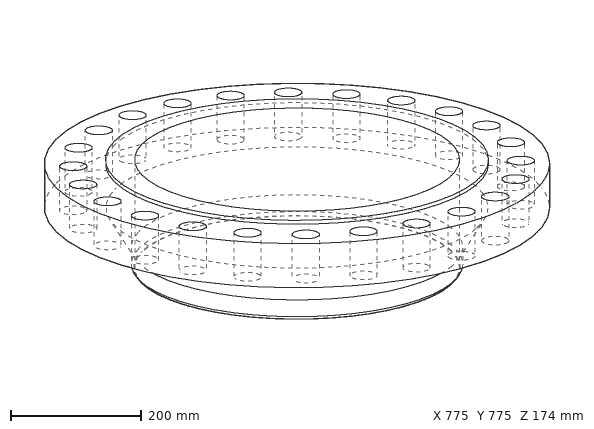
import cadquery as cq

flange_diameter = 775.0
total_height = 174.0
bore_diameter = 498.0

weld_end_height = 32.5
raised_face_height = 6.0
flange_thickness = 71.0
flange_top = total_height - raised_face_height
flange_bottom = flange_top - flange_thickness

weld_end_diameter = 508.0
hub_base_diameter = 586.0
raised_face_diameter = 587.0

bevel_width = 4.0
bevel_height = 5.5

bolt_count = 24
bolt_circle_diameter = 686.0
bolt_hole_diameter = 42.0
bolt_pitch_angle = 360 / bolt_count


def flange_body():
    """Revolve the weld-neck section about the Z axis."""
    bore_radius = bore_diameter / 2
    weld_end_radius = weld_end_diameter / 2
    flange_radius = flange_diameter / 2
    raised_face_radius = raised_face_diameter / 2
    section = [
        (bore_radius, 0),
        (weld_end_radius - bevel_width, 0),
        (weld_end_radius, bevel_height),
        (weld_end_radius, weld_end_height),
        (hub_base_diameter / 2, flange_bottom),
        (flange_radius, flange_bottom),
        (flange_radius, flange_top),
        (raised_face_radius, flange_top),
        (raised_face_radius, total_height),
        (bore_radius, total_height),
    ]
    return cq.Workplane("XZ").polyline(section).close().revolve(360, (0, 0, 0), (0, 1, 0))


def bolt_holes():
    """Cylinders that cut every bolt hole through the flange."""
    return (
        cq.Workplane("XY")
        .workplane(offset=flange_bottom)
        .polarArray(bolt_circle_diameter / 2, bolt_pitch_angle / 2, 360, bolt_count)
        .circle(bolt_hole_diameter / 2)
        .extrude(flange_thickness)
    )


result = flange_body().cut(bolt_holes())